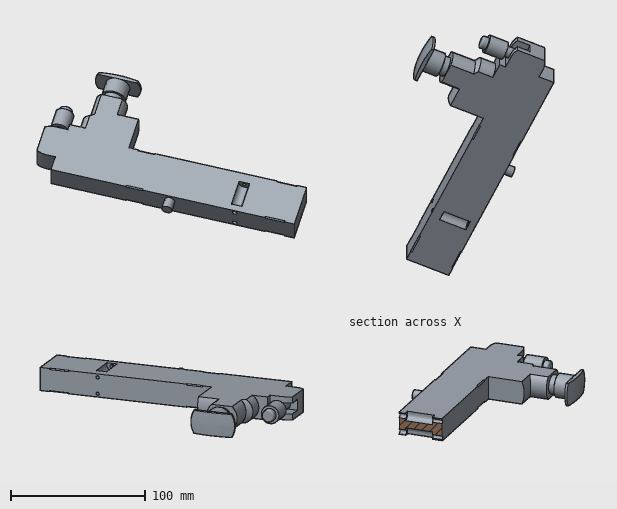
import cadquery as cq
import math

thickness = 18.0
mid_z = thickness / 2
length = 203.0
bar_width = 34.7
foot_x = 14.8
nose_bottom_y = 12.2
nose_top_y = 38.5
nose_edge_radius = 14.6
nose_bottom_drop = 2.2
nose_top_drop = 2.0
shoulder_x = 65.5

slot_floor_y = 26.4

bevel_spans = [(72.8, 85.6), (180.2, 195.4)]
bevel_y = 1.0
bevel_z = 0.8

pocket_x = 156.8
pocket_diameter = 8.0
pocket_wall = 2.0
pocket_y_start = 5.3
pocket_y_end = 26.8
hole_front_diameter = 3.5
hole_rear_diameter = 2.5
hole_edge_distance = 2.6

pin_x = 106.7
pin_z = 12.2
pin_diameter = 8.0
pin_length = 8.3

plate_x = 17.2
plate_top_y = 43.5
block_x = 24.3
block_slope_start_y = 55.4
block_slope_run = 5.1
block_slope_rise = 3.1
block_end_radius = 10.3
block_edge_y = 61.7
block_crown_y = 63.5

button_x = 41.0
column_diameter = 24.3
column_top_y = 76.3
neck_diameter = 15.0
neck_top_y = 81.2
collar_diameter = 18.5
cap_bottom_y = 93.3
cap_rim_y = 95.2
cap_top_y = 97.0
cap_diameter = 35.1

screw_x = 9.7
stem_diameter = 8.3
sleeve_diameter = 14.0
sleeve_bottom_y = 42.8
sleeve_top_y = 57.6
tip_diameter = 9.7
tip_top_y = 62.0
tip_rounding = 1.2


def upright_cylinder(x, z, diameter, y_start, y_end):
    """Cylinder with its axis along Y."""
    plane = cq.Plane(origin=(x, y_start, z), xDir=(1, 0, 0), normal=(0, 1, 0))
    return cq.Workplane(plane).circle(diameter / 2).extrude(y_end - y_start)


def box_between(x_start, x_end, y_start, y_end, z_start=0, z_end=thickness):
    size = (x_end - x_start, y_end - y_start, z_end - z_start)
    return cq.Workplane().box(*size, centered=False).translate((x_start, y_start, z_start))


def edge_run(drop):
    """Length along X of a nose edge arc that is tangent to the nose side."""
    return math.sqrt(2 * nose_edge_radius * drop - drop ** 2)


def make_bar():
    return (
        cq.Workplane()
        .moveTo(foot_x, 0)
        .lineTo(length, 0)
        .lineTo(length, bar_width)
        .lineTo(shoulder_x, bar_width)
        .lineTo(shoulder_x, nose_top_y)
        .lineTo(edge_run(nose_top_drop), nose_top_y)
        .radiusArc((0, nose_top_y - nose_top_drop), -nose_edge_radius)
        .lineTo(0, nose_bottom_y + nose_bottom_drop)
        .radiusArc((edge_run(nose_bottom_drop), nose_bottom_y), -nose_edge_radius)
        .lineTo(foot_x, nose_bottom_y)
        .close()
        .extrude(thickness)
    )


def make_screw_slot():
    half = stem_diameter / 2
    channel = box_between(0, screw_x, slot_floor_y, nose_top_y, mid_z - half, mid_z + half)
    return channel.union(upright_cylinder(screw_x, mid_z, stem_diameter, slot_floor_y, nose_top_y))


def make_edge_bevels():
    bevels = cq.Workplane()
    for x_start, x_end in bevel_spans:
        for y, inward_y in ((0, 1), (bar_width, -1)):
            for z, inward_z in ((0, 1), (thickness, -1)):
                bevels = bevels.add(
                    cq.Workplane("YZ", origin=(x_start, 0, 0))
                    .moveTo(y, z)
                    .lineTo(y + inward_y * bevel_y, z)
                    .lineTo(y, z + inward_z * bevel_z)
                    .close()
                    .extrude(x_end - x_start)
                )
    return bevels.combine()


def make_block():
    """Block with a rounded left end that leans over to the right at the top."""
    end_x = block_x + block_end_radius

    def rounded_outline(y, shift):
        arc_offset = math.sqrt(block_end_radius ** 2 - mid_z ** 2)
        plane = cq.Plane(origin=(0, y, mid_z), xDir=(1, 0, 0), normal=(0, 1, 0))
        return (
            cq.Workplane(plane)
            .moveTo(end_x - arc_offset + shift, -mid_z)
            .lineTo(shoulder_x, -mid_z)
            .lineTo(shoulder_x, mid_z)
            .lineTo(end_x - arc_offset + shift, mid_z)
            .threePointArc((block_x + shift, 0), (end_x - arc_offset + shift, -mid_z))
            .close()
        )

    lower = rounded_outline(nose_top_y, 0).extrude(block_slope_start_y - nose_top_y)
    lean_rise = block_crown_y - block_slope_start_y
    lean_run = block_slope_run * lean_rise / block_slope_rise
    lower_wire = rounded_outline(block_slope_start_y, 0).val()
    upper_wire = rounded_outline(block_crown_y, lean_run).val()
    leaning = cq.Workplane(cq.Solid.makeLoft([lower_wire, upper_wire], True))
    crown = (
        cq.Workplane("YZ")
        .moveTo(nose_top_y, 0)
        .lineTo(block_edge_y, 0)
        .threePointArc((block_crown_y, mid_z), (block_edge_y, thickness))
        .lineTo(nose_top_y, thickness)
        .close()
        .extrude(shoulder_x)
    )
    plate = box_between(plate_x, shoulder_x, nose_top_y, plate_top_y)
    return lower.union(leaning).intersect(crown).union(plate)


def make_button():
    dome_height = cap_top_y - cap_rim_y
    dome_radius = ((cap_diameter / 2) ** 2 + dome_height ** 2) / (2 * dome_height)
    cap = (
        cq.Workplane(origin=(button_x, 0, mid_z))
        .moveTo(0, cap_bottom_y)
        .lineTo(cap_diameter / 2, cap_bottom_y)
        .lineTo(cap_diameter / 2, cap_rim_y)
        .radiusArc((0, cap_top_y), -dome_radius)
        .close()
        .revolve(360, (0, 0, 0), (0, 1, 0))
    )
    column = upright_cylinder(button_x, mid_z, column_diameter, nose_top_y, column_top_y)
    flats = box_between(0, length, 0, cap_top_y)
    neck = upright_cylinder(button_x, mid_z, neck_diameter, column_top_y, neck_top_y)
    collar = upright_cylinder(button_x, mid_z, collar_diameter, neck_top_y, cap_bottom_y)
    return column.intersect(flats).union(neck).union(collar).union(cap.intersect(flats))


def cut_pockets(body):
    """Round-floored pockets on both faces, each with holes to the front and rear sides."""
    radius = pocket_diameter / 2
    for face_z, inward in ((0, 1), (thickness, -1)):
        axis_z = face_z + inward * pocket_wall
        hole_z = face_z + inward * hole_edge_distance
        body = body.cut(upright_cylinder(pocket_x, axis_z, pocket_diameter, pocket_y_start, pocket_y_end))
        z_start, z_end = sorted((face_z, axis_z))
        body = body.cut(
            box_between(pocket_x - radius, pocket_x + radius, pocket_y_start, pocket_y_end, z_start, z_end)
        )
        body = body.cut(upright_cylinder(pocket_x, hole_z, hole_front_diameter, 0, pocket_y_start))
        body = body.cut(upright_cylinder(pocket_x, hole_z, hole_rear_diameter, pocket_y_end, bar_width))
    return body


def make_valve():
    body = make_bar().cut(make_edge_bevels()).cut(make_screw_slot())
    body = cut_pockets(body)
    body = body.union(upright_cylinder(pin_x, pin_z, pin_diameter, -pin_length, 0))
    return body.union(make_block()).union(make_button())


def make_screw():
    stem = upright_cylinder(screw_x, mid_z, stem_diameter, slot_floor_y, sleeve_bottom_y)
    sleeve = upright_cylinder(screw_x, mid_z, sleeve_diameter, sleeve_bottom_y, sleeve_top_y)
    tip = upright_cylinder(screw_x, mid_z, tip_diameter, sleeve_top_y, tip_top_y)
    return stem.union(sleeve).union(tip.faces(">Y").fillet(tip_rounding))


valve = make_valve()
screw = make_screw()
result = cq.Compound.makeCompound([valve.val(), screw.val()])